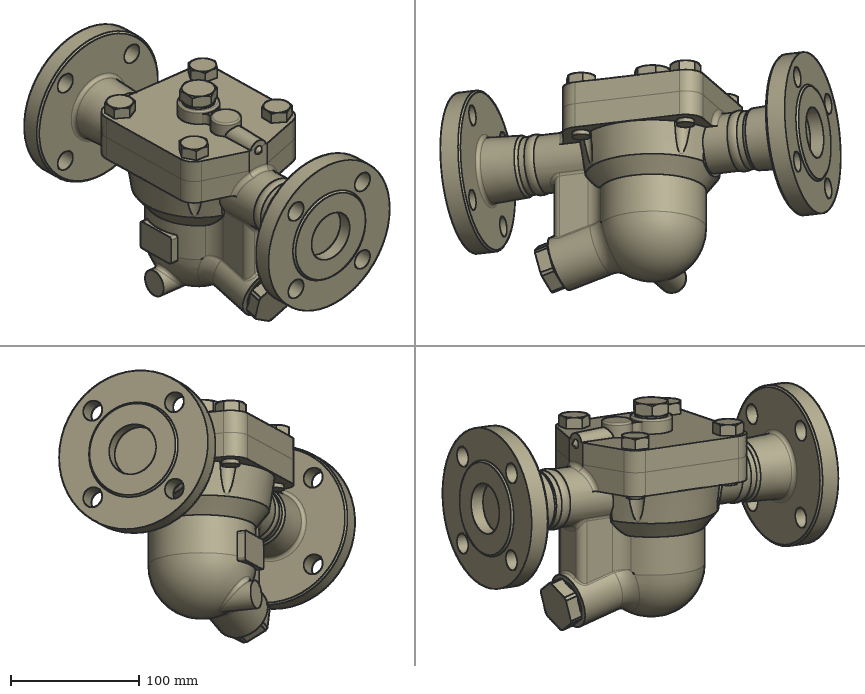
import cadquery as cq
import math

FACE_TO_FACE = 290.0
CHAMBER_X = -10.0

FLANGE_DIA = 127.0
FLANGE_THICKNESS = 16.3
FLANGE_EDGE_CHAMFER = 1.5
RAISED_FACE_DIA = 76.0
RAISED_FACE_TIP_DIA = 73.2
RAISED_FACE_HEIGHT = 1.7
BOLT_CIRCLE_DIA = 98.4
FLANGE_HOLE_DIA = 16.0
FLANGE_HOLE_COUNT = 4
BORE_DIA = 40.0
BORE_DEPTH = 11.0
PIPE_RADIUS = 23.0
NECK_ROOT_RADIUS = 25.9
NECK_END_RADIUS = 24.5
NECK_FILLET = 3.0
NECK_END_X = 96.2
PIPE_START_X = 93.5
BEAD_OUTER_X = 88.5
BEAD_INNER_X = 80.5
BEAD_HEIGHT = 1.0

COVER_TOP_Z = 44.0
COVER_BOTTOM_Z = 26.5
PLATE_BOTTOM_Z = 7.0
BOLT_OFFSET = 43.4
PLATE_CORNER_RADIUS = 14.4
NOSE_X = 60.3
SLANT_ANGLE = 19.0
PIPE_FLARE_RADIUS = 4.0

BOLT_DIA = 14.0
BOLT_HEAD_FLATS = 21.0
BOLT_HEAD_HEIGHT = 9.0
BOLT_END_Z = 3.4
BOLT_TWIST = -3.0
BOLT_RELIEF_DIA = 17.2

SHOULDER_TOP_RADIUS = 56.8
SHOULDER_LOW_RADIUS = 52.5
SHOULDER_FLAT_HALF = 52.2
SHOULDER_FLAT_DRAFT = 7.0
SHOULDER_BOTTOM_Z = -19.4
CYLINDER_TOP_Z = -32.7
CHAMBER_RADIUS = 42.0
DOME_Z = -63.0
ROOT_BLEND = 16.0

PAD_WIDTH = 36.0
PAD_TOP_Z = -43.0
PAD_BOTTOM_Z = -67.0
PAD_FACE_Y = -44.6
PAD_CORNER_RADIUS = 2.0

DRAIN_DIA = 22.0
DRAIN_Z = -90.9
DRAIN_FACE_Y = -46.2
DRAIN_FILLET = 3.0

BARREL_SLOPE = 15.0
BARREL_RADIUS = 22.0
BARREL_LENGTH = 80.0
BARREL_PLUG_COLLAR_RADIUS = 17.5
BARREL_PLUG_COLLAR_LENGTH = 1.5
BARREL_PLUG_FLATS = 36.0
BARREL_PLUG_ROUND_DIA = 40.0
BARREL_PLUG_HEIGHT = 10.7

BLOCK_END_X = 67.6
BLOCK_HALF_WIDTH = 17.0
BLOCK_CORNER_RADIUS = 6.4
BLOCK_SUNK_HEIGHT = 4.0
BLOCK_PIPE_FILLET = 4.0
BLOCK_BARREL_FILLET = 2.0

VENT_BOSS_DIA = 33.0
SIDE_BOSS_DIA = 24.0
SIDE_BOSS_X = 22.0
BOSS_TOP_Z = 55.6
BOSS_EDGE = 1.5
BOSS_WEB_TOP_Z = 52.9
BOSS_WEB_HOLLOW = 5.0
VENT_PLUG_FLATS = 26.0
VENT_PLUG_BOTTOM_Z = 57.1
VENT_PLUG_TOP_Z = 67.0
DUCT_DIA = 17.0
DUCT_END_Z = 41.3
DUCT_SLOPE = 3.0
DUCT_TIP_RADIUS = 3.6
DUCT_TIP_LENGTH = 3.7

HEX_CHAMFER_ANGLE = 30.0
SEAM_MARGIN = 1.0


def disc(x, y, z_bottom, z_top, radius):
    """Vertical cylinder between two heights."""
    return cq.Workplane("XY", origin=(x, y, z_bottom)).circle(radius).extrude(z_top - z_bottom)


def near(point, reach):
    """Selector of edges whose centres lie in a cube around a point."""
    low = tuple(value - reach for value in point)
    high = tuple(value + reach for value in point)
    return cq.selectors.BoxSelector(low, high)


def between(shape, z_bottom, z_top):
    """The layer of a shape between two heights."""
    layer = cq.Workplane("XY", origin=(0, 0, z_bottom)).rect(FACE_TO_FACE, FACE_TO_FACE)
    layer = layer.extrude(z_top - z_bottom)
    return shape.intersect(layer)


def hexagon(flats, height, both_ends=False):
    """Hexagon head standing on the XY plane, corners turned down at the top or at both ends."""
    corner = flats / math.sqrt(3)
    drop = (corner - flats / 2) * math.tan(math.radians(HEX_CHAMFER_ANGLE))
    profile = cq.Workplane("XZ").moveTo(0, 0)
    if both_ends:
        profile = profile.lineTo(flats / 2, 0).lineTo(corner, drop)
    else:
        profile = profile.lineTo(corner, 0)
    profile = profile.lineTo(corner, height - drop).lineTo(flats / 2, height).lineTo(0, height)
    turned = profile.close().revolve(360, (0, 0), (0, 1))
    return cq.Workplane("XY").polygon(6, 2 * corner).extrude(height).intersect(turned)


def pipe_and_flange():
    """Half of the pipe, from the middle to one flange, on the +X side."""
    face_x = FACE_TO_FACE / 2
    front_x = face_x - RAISED_FACE_HEIGHT
    back_x = front_x - FLANGE_THICKNESS
    flange_radius = FLANGE_DIA / 2
    neck_x = back_x - NECK_FILLET
    diagonal = NECK_FILLET * (1 - math.sqrt(0.5))
    half = (
        cq.Workplane("XY")
        .moveTo(0, 0)
        .lineTo(0, PIPE_RADIUS)
        .lineTo(BEAD_INNER_X, PIPE_RADIUS)
        .threePointArc(
            ((BEAD_INNER_X + BEAD_OUTER_X) / 2, PIPE_RADIUS + BEAD_HEIGHT),
            (BEAD_OUTER_X, PIPE_RADIUS),
        )
        .lineTo(PIPE_START_X, PIPE_RADIUS)
        .lineTo(NECK_END_X, NECK_END_RADIUS)
        .lineTo(neck_x, NECK_ROOT_RADIUS)
        .threePointArc(
            (back_x - diagonal, NECK_ROOT_RADIUS + diagonal),
            (back_x, NECK_ROOT_RADIUS + NECK_FILLET),
        )
        .lineTo(back_x, flange_radius - FLANGE_EDGE_CHAMFER)
        .lineTo(back_x + FLANGE_EDGE_CHAMFER, flange_radius)
        .lineTo(front_x, flange_radius)
        .lineTo(front_x, RAISED_FACE_DIA / 2)
        .lineTo(face_x, RAISED_FACE_TIP_DIA / 2)
        .lineTo(face_x, 0)
        .close()
        .revolve(360, (0, 0), (1, 0))
    )
    holes = (
        cq.Workplane("YZ", origin=(back_x, 0, 0))
        .polarArray(BOLT_CIRCLE_DIA / 2, 45, 360, FLANGE_HOLE_COUNT)
        .circle(FLANGE_HOLE_DIA / 2)
        .extrude(FLANGE_THICKNESS)
    )
    bore = cq.Workplane("YZ", origin=(face_x, 0, 0)).circle(BORE_DIA / 2).extrude(-BORE_DEPTH)
    return half.cut(holes).cut(bore)


def stacked_plates():
    """Cover and body flange in one piece, with a flare where the pipe enters the side faces."""
    half_side = BOLT_OFFSET + PLATE_CORNER_RADIUS
    slant = math.radians(SLANT_ANGLE)
    corner_x = CHAMBER_X + BOLT_OFFSET + PLATE_CORNER_RADIUS * math.tan((math.pi / 2 - slant) / 2)
    nose_y = half_side - (NOSE_X - corner_x) / math.tan(slant)
    left_x = CHAMBER_X - half_side
    outline = [
        (left_x, -half_side),
        (corner_x, -half_side),
        (NOSE_X, -nose_y),
        (NOSE_X, nose_y),
        (corner_x, half_side),
        (left_x, half_side),
    ]
    prism_bottom = -COVER_TOP_Z
    prism = (
        cq.Workplane("XY", origin=(0, 0, prism_bottom))
        .polyline(outline)
        .close()
        .extrude(COVER_TOP_Z - prism_bottom)
    )
    corners = cq.selectors.BoxSelector(
        (left_x - SEAM_MARGIN, -half_side - SEAM_MARGIN, -SEAM_MARGIN),
        (NOSE_X - SEAM_MARGIN, half_side + SEAM_MARGIN, SEAM_MARGIN),
    )
    prism = prism.edges("|Z").edges(corners).fillet(PLATE_CORNER_RADIUS)
    pipe_reach = 2 * PIPE_FLARE_RADIUS
    pipe = (
        cq.Workplane("YZ", origin=(left_x - pipe_reach, 0, 0))
        .circle(PIPE_RADIUS)
        .extrude(NOSE_X - left_x + 2 * pipe_reach)
    )
    rim = cq.selectors.BoxSelector(
        (left_x - SEAM_MARGIN, -PIPE_RADIUS, -PIPE_RADIUS),
        (NOSE_X + SEAM_MARGIN, PIPE_RADIUS, PIPE_RADIUS),
    )
    return prism.union(pipe).edges(rim).fillet(PIPE_FLARE_RADIUS)


def bolts(feature):
    """Four copies of a feature made for the bolt at the +X +Y corner."""
    axis_start = (CHAMBER_X, 0, 0)
    axis_end = (CHAMBER_X, 0, 1)
    placed = feature.translate((CHAMBER_X + BOLT_OFFSET, BOLT_OFFSET, 0))
    group = cq.Workplane("XY")
    for turn in (0, 90, 180, 270):
        group.add(placed.rotate(axis_start, axis_end, turn))
    return group.combine()


def cover_bolts():
    """Bolts with hexagon heads on the cover and plain ends under the body flange."""
    head = hexagon(BOLT_HEAD_FLATS, BOLT_HEAD_HEIGHT)
    head = head.rotate((0, 0, 0), (0, 0, 1), BOLT_TWIST).translate((0, 0, COVER_TOP_Z))
    return bolts(head.union(disc(0, 0, BOLT_END_Z, COVER_TOP_Z, BOLT_DIA / 2)))


def shoulder():
    """Drafted round shoulder under the plates, flattened at both pipe ends, with bolt reliefs."""
    draft = math.tan(math.radians(SHOULDER_FLAT_DRAFT))
    turned = (
        cq.Workplane("XZ", origin=(CHAMBER_X, 0, 0))
        .moveTo(0, CYLINDER_TOP_Z)
        .lineTo(CHAMBER_RADIUS, CYLINDER_TOP_Z)
        .lineTo(SHOULDER_LOW_RADIUS, SHOULDER_BOTTOM_Z)
        .lineTo(SHOULDER_TOP_RADIUS, PLATE_BOTTOM_Z)
        .lineTo(0, PLATE_BOTTOM_Z)
        .close()
        .revolve(360, (0, 0), (0, 1))
    )
    low_flat = SHOULDER_FLAT_HALF - (PLATE_BOTTOM_Z - CYLINDER_TOP_Z) * draft
    flats = (
        cq.Workplane("XZ", origin=(CHAMBER_X, 0, 0))
        .moveTo(-low_flat, CYLINDER_TOP_Z)
        .lineTo(low_flat, CYLINDER_TOP_Z)
        .lineTo(SHOULDER_FLAT_HALF, PLATE_BOTTOM_Z)
        .lineTo(-SHOULDER_FLAT_HALF, PLATE_BOTTOM_Z)
        .close()
        .extrude(SHOULDER_TOP_RADIUS, both=True)
    )
    relief = disc(0, 0, CYLINDER_TOP_Z, PLATE_BOTTOM_Z, BOLT_RELIEF_DIA / 2)
    return turned.intersect(flats).cut(bolts(relief))


def barrel_point(distance):
    """Point on the barrel axis at a distance from the dome centre."""
    slope = math.radians(BARREL_SLOPE)
    return (CHAMBER_X + distance * math.cos(slope), 0, DOME_Z - distance * math.sin(slope))


def along_barrel(shape, distance):
    """Turn a shape made along +Z onto the barrel axis and place its base at a distance."""
    return shape.rotate((0, 0, 0), (0, 1, 0), 90 + BARREL_SLOPE).translate(barrel_point(distance))


def barrel():
    """Barrel with a concave root that runs tangent into the dome."""
    blend_offset = BARREL_RADIUS + ROOT_BLEND
    blend_reach = CHAMBER_RADIUS + ROOT_BLEND
    blend_z = math.sqrt(blend_reach**2 - blend_offset**2)
    on_dome = CHAMBER_RADIUS / blend_reach
    profile = (
        cq.Workplane("XZ")
        .moveTo(0, 0)
        .lineTo(blend_offset * on_dome, blend_z * on_dome)
        .radiusArc((BARREL_RADIUS, blend_z), ROOT_BLEND)
        .lineTo(BARREL_RADIUS, BARREL_LENGTH)
        .lineTo(0, BARREL_LENGTH)
        .close()
    )
    return along_barrel(profile.revolve(360, (0, 0), (0, 1)), 0)


def domed_chamber():
    """Cylinder closed by a dome, with the drain boss blended into it."""
    body = (
        cq.Workplane("XZ", origin=(CHAMBER_X, 0, 0))
        .moveTo(0, PLATE_BOTTOM_Z)
        .lineTo(CHAMBER_RADIUS, PLATE_BOTTOM_Z)
        .lineTo(CHAMBER_RADIUS, DOME_Z)
        .radiusArc((0, DOME_Z - CHAMBER_RADIUS), CHAMBER_RADIUS)
        .close()
        .revolve(360, (0, 0), (0, 1))
    )
    drain = (
        cq.Workplane("XZ", origin=(CHAMBER_X, 0, DRAIN_Z))
        .circle(DRAIN_DIA / 2)
        .extrude(-DRAIN_FACE_Y)
    )
    drop = DOME_Z - DRAIN_Z
    drain_root_y = -math.sqrt(CHAMBER_RADIUS**2 - drop**2)
    body = body.union(drain)
    return body.edges(near((CHAMBER_X, drain_root_y, DRAIN_Z), DRAIN_DIA / 2)).fillet(DRAIN_FILLET)


def pad():
    """Flat raised pad on the -Y side of the chamber."""
    height = PAD_TOP_Z - PAD_BOTTOM_Z
    block = cq.Workplane("XY").box(PAD_WIDTH, -PAD_FACE_Y, height)
    block = block.edges("|Y").fillet(PAD_CORNER_RADIUS)
    return block.translate((CHAMBER_X, PAD_FACE_Y / 2, PAD_TOP_Z - height / 2))


def passage_block():
    """Block joining pipe and barrel, hollow-filleted into the chamber wall."""
    root_y = BLOCK_HALF_WIDTH + ROOT_BLEND
    root_distance = CHAMBER_RADIUS + ROOT_BLEND
    root_x = math.sqrt(root_distance**2 - root_y**2)
    touch_x = CHAMBER_X + root_x * CHAMBER_RADIUS / root_distance
    touch_y = root_y * CHAMBER_RADIUS / root_distance
    flat_x = CHAMBER_X + root_x
    outline = (
        cq.Workplane("XY", origin=(0, 0, barrel_point(BARREL_LENGTH)[2]))
        .moveTo(CHAMBER_X, -touch_y)
        .lineTo(touch_x, -touch_y)
        .radiusArc((flat_x, -BLOCK_HALF_WIDTH), ROOT_BLEND)
        .lineTo(BLOCK_END_X, -BLOCK_HALF_WIDTH)
        .lineTo(BLOCK_END_X, BLOCK_HALF_WIDTH)
        .lineTo(flat_x, BLOCK_HALF_WIDTH)
        .radiusArc((touch_x, touch_y), ROOT_BLEND)
        .lineTo(CHAMBER_X, touch_y)
        .close()
    )
    block = outline.extrude(-barrel_point(BARREL_LENGTH)[2])
    block = block.edges("|Z and >X").fillet(BLOCK_CORNER_RADIUS)
    below = cq.Workplane("XY").box(
        2 * BARREL_LENGTH, 4 * BARREL_RADIUS, 4 * BARREL_LENGTH, centered=(False, True, True)
    )
    below = along_barrel(below.translate((-BLOCK_SUNK_HEIGHT, 0, 0)), 0)
    return block.cut(below)


def barrel_plug():
    """Hexagon plug with rounded-off corners and a short collar in the end of the barrel."""
    collar = cq.Workplane("XY").circle(BARREL_PLUG_COLLAR_RADIUS).extrude(BARREL_PLUG_COLLAR_LENGTH)
    head = cq.Workplane("XY").polygon(6, 2 * BARREL_PLUG_FLATS / math.sqrt(3)).extrude(BARREL_PLUG_HEIGHT)
    rounding = cq.Workplane("XY").circle(BARREL_PLUG_ROUND_DIA / 2).extrude(BARREL_PLUG_HEIGHT)
    head = head.intersect(rounding)
    plug = collar.union(head.translate((0, 0, BARREL_PLUG_COLLAR_LENGTH)))
    return along_barrel(plug, BARREL_LENGTH)


def boss_web():
    """Web between the vent and side bosses, its sides hollowed tangent to both bosses."""
    vent_radius = VENT_BOSS_DIA / 2
    side_radius = SIDE_BOSS_DIA / 2
    spacing = SIDE_BOSS_X - CHAMBER_X
    vent_reach = vent_radius + BOSS_WEB_HOLLOW
    side_reach = side_radius + BOSS_WEB_HOLLOW
    centre_x = (vent_reach**2 + spacing**2 - side_reach**2) / (2 * spacing)
    centre_y = math.sqrt(vent_reach**2 - centre_x**2)
    vent_x = centre_x * vent_radius / vent_reach
    vent_y = centre_y * vent_radius / vent_reach
    side_x = spacing - (spacing - centre_x) * side_radius / side_reach
    side_y = centre_y * side_radius / side_reach
    return (
        cq.Workplane("XY", origin=(CHAMBER_X, 0, COVER_TOP_Z))
        .moveTo(0, 0)
        .lineTo(vent_x, -vent_y)
        .radiusArc((side_x, -side_y), BOSS_WEB_HOLLOW)
        .lineTo(spacing, 0)
        .lineTo(side_x, side_y)
        .radiusArc((vent_x, vent_y), BOSS_WEB_HOLLOW)
        .close()
        .extrude(BOSS_WEB_TOP_Z - COVER_TOP_Z)
    )


def cover_top():
    """Vent boss with its plug, side boss, the web between them and the duct to the nose."""
    vent = disc(CHAMBER_X, 0, COVER_TOP_Z, BOSS_TOP_Z, VENT_BOSS_DIA / 2)
    vent = vent.faces(">Z").edges().fillet(BOSS_EDGE)
    side = disc(SIDE_BOSS_X, 0, COVER_TOP_Z, BOSS_TOP_Z, SIDE_BOSS_DIA / 2)
    side = side.faces(">Z").edges().fillet(BOSS_EDGE)
    collar = disc(CHAMBER_X, 0, BOSS_TOP_Z, VENT_PLUG_BOTTOM_Z, VENT_PLUG_FLATS / 2)
    plug = hexagon(VENT_PLUG_FLATS, VENT_PLUG_TOP_Z - VENT_PLUG_BOTTOM_Z, both_ends=True)
    plug = plug.translate((CHAMBER_X, 0, VENT_PLUG_BOTTOM_Z))
    duct_length = NOSE_X - SIDE_BOSS_X
    duct = cq.Workplane("YZ").circle(DUCT_DIA / 2).extrude(-2 * duct_length)
    duct = duct.rotate((0, 0, 0), (0, 1, 0), DUCT_SLOPE).translate((NOSE_X, 0, DUCT_END_Z))
    zone = (
        cq.Workplane("XY", origin=(SIDE_BOSS_X, -DUCT_DIA, COVER_TOP_Z))
        .rect(duct_length, 2 * DUCT_DIA, centered=False)
        .extrude(DUCT_DIA)
    )
    tip = cq.Solid.makeCone(
        DUCT_TIP_RADIUS, 0, DUCT_TIP_LENGTH, cq.Vector(NOSE_X, 0, DUCT_END_Z), cq.Vector(1, 0, 0)
    )
    top = vent.union(side).union(boss_web()).union(collar).union(plug)
    return top.union(duct.intersect(zone)).union(cq.Workplane(tip))


def passage_flare():
    """Straight core of the passage block and a stretch of pipe, with a fillet where they meet."""
    length = BLOCK_END_X - CHAMBER_X
    core = (
        cq.Workplane("XY", origin=(CHAMBER_X, 0, DOME_Z))
        .rect(length, 2 * BLOCK_HALF_WIDTH, centered=(False, True))
        .extrude(-DOME_Z)
    )
    core = core.edges("|Z and >X").fillet(BLOCK_CORNER_RADIUS)
    stub = (
        cq.Workplane("YZ", origin=(CHAMBER_X, 0, 0))
        .circle(PIPE_RADIUS)
        .extrude(length + 2 * BLOCK_PIPE_FILLET)
    )
    seam = cq.selectors.BoxSelector(
        (CHAMBER_X + SEAM_MARGIN, -PIPE_RADIUS, -PIPE_RADIUS),
        (BLOCK_END_X + SEAM_MARGIN, PIPE_RADIUS, -SEAM_MARGIN),
    )
    flared = core.union(stub).edges(seam).fillet(BLOCK_PIPE_FILLET)
    return between(flared, (CYLINDER_TOP_Z + DOME_Z) / 2, 0)


def chamber_with_passage():
    """Domed chamber, barrel and passage block, blended where the block stands on the barrel."""
    joined = domed_chamber().union(barrel()).union(passage_block())
    start = barrel_point(BARREL_RADIUS + SEAM_MARGIN)
    end = barrel_point(BARREL_LENGTH)
    seam = cq.selectors.BoxSelector(
        (start[0], -BARREL_RADIUS, end[2] + BARREL_RADIUS / 2),
        (end[0] + SEAM_MARGIN, BARREL_RADIUS, start[2] + BARREL_RADIUS),
    )
    return joined.edges(seam).fillet(BLOCK_BARREL_FILLET).union(passage_flare())


half_pipe = pipe_and_flange()
pipe = half_pipe.union(half_pipe.mirror("YZ"))
fittings = cover_bolts().union(cover_top())
body = chamber_with_passage().union(shoulder()).union(pad()).union(barrel_plug()).union(pipe)

plates = stacked_plates()
body_flange = between(plates, PLATE_BOTTOM_Z, COVER_BOTTOM_Z)
cover = between(plates, COVER_BOTTOM_Z, COVER_TOP_Z)
result = body.union(body_flange).union(cover, clean=False).union(fittings, clean=False)